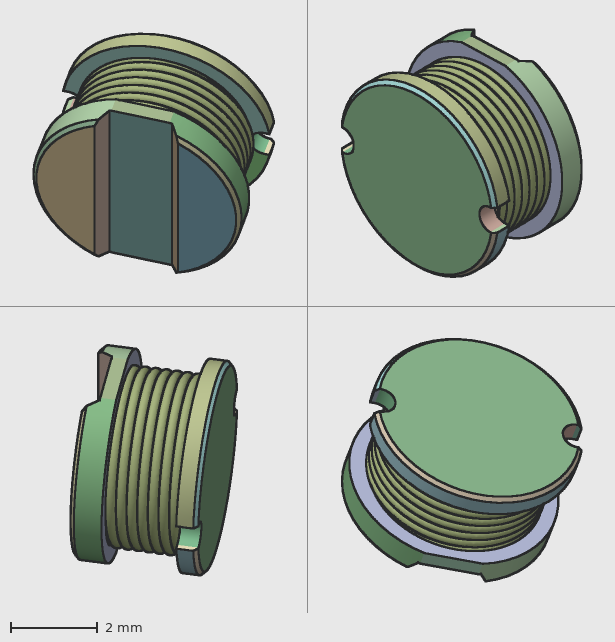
import cadquery as cq
import math

flange_radius = 2.5
length = 3.0
front_thickness = 0.75
back_thickness = 0.5
edge_chamfer = 0.1
back_start = length - back_thickness

flat_height = 2.4
slot_depth = 0.375
slot_floor_width = 1.5
slot_mouth_width = 2.0

notch_radius = 0.35
notch_depth = 0.5

winding_radius = 2.125
wire_radius = 0.125
pitch = 2 * wire_radius
core_radius = 2.03
ridge_embed = 0.015


def cylinder(radius, start, depth):
    """Cylinder along Y, from start to start + depth."""
    return cq.Workplane("XZ", origin=(0, start, 0)).circle(radius).extrude(-depth)


def make_front_flange():
    flange = cylinder(flange_radius, 0, front_thickness).faces("<Y").chamfer(edge_chamfer)
    between_flats = cq.Workplane("XY").box(
        2 * flange_radius, front_thickness, 2 * flat_height, centered=(True, False, True)
    )
    slot = (
        cq.Workplane("XY", origin=(0, 0, -flange_radius))
        .moveTo(-slot_mouth_width / 2, 0)
        .lineTo(-slot_floor_width / 2, slot_depth)
        .lineTo(slot_floor_width / 2, slot_depth)
        .lineTo(slot_mouth_width / 2, 0)
        .close()
        .extrude(2 * flange_radius)
    )
    return flange.intersect(between_flats).cut(slot)


def make_back_flange():
    flange = cylinder(flange_radius, back_start, back_thickness).faces(">Y").chamfer(edge_chamfer)
    notches = (
        cq.Workplane("XZ", origin=(0, back_start, 0))
        .pushPoints([(-flange_radius, 0), (flange_radius, 0)])
        .slot2D(2 * notch_depth, 2 * notch_radius)
        .extrude(-back_thickness)
    )
    return flange.cut(notches)


def make_wound_core():
    """Core with the outer part of the wire as a helical ridge, trimmed to the gap between the flanges."""
    start = front_thickness - wire_radius
    travel = back_start + wire_radius - start
    base_radius = core_radius - ridge_embed
    wire_center = winding_radius - wire_radius
    half_width = math.sqrt(wire_radius**2 - (base_radius - wire_center) ** 2)
    helix = cq.Workplane(obj=cq.Wire.makeHelix(pitch, travel, base_radius))
    ridge = (
        cq.Workplane("XZ")
        .moveTo(base_radius, -half_width)
        .threePointArc((winding_radius, 0), (base_radius, half_width))
        .close()
        .sweep(helix, isFrenet=True)
    )
    ridge = ridge.rotate((0, 0, 0), (1, 0, 0), -90).translate((0, start, 0))

    long_core = cylinder(core_radius, start - pitch, travel + 2 * pitch)
    gap = cylinder(flange_radius, front_thickness, back_start - front_thickness)
    return long_core.union(ridge).intersect(gap)


result = make_wound_core().union(make_front_flange()).union(make_back_flange())